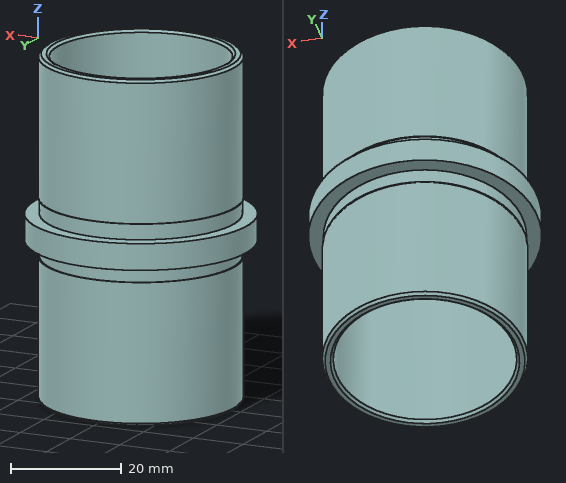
import cadquery as cq

length = 65.0
collar_diameter = 42.4
collar_width = 5.0
tube_diameter = 37.3
bore_diameter = 33.3
relief_width = 3.0
relief_depth = 0.2
chamfer = 0.5

relief_diameter = tube_diameter - 2 * relief_depth
relieved_length = collar_width + 2 * relief_width


def centred_cylinder(diameter, height):
    """Cylinder on the Z axis, centred on the mid-plane of the part."""
    return cq.Workplane("XY").cylinder(height, diameter / 2)


def make_tube():
    """Plain sleeve with both rims chamfered inside and outside."""
    sleeve = centred_cylinder(tube_diameter, length).cut(centred_cylinder(bore_diameter, length))
    return sleeve.faces("<Z or >Z").edges().chamfer(chamfer)


def make_relief():
    """Shallow ring to remove around the middle of the sleeve."""
    return centred_cylinder(tube_diameter, relieved_length).cut(
        centred_cylinder(relief_diameter, relieved_length)
    )


def make_collar():
    """Stop ring around the middle of the sleeve."""
    return centred_cylinder(collar_diameter, collar_width).cut(
        centred_cylinder(bore_diameter, collar_width)
    )


result = make_tube().cut(make_relief()).union(make_collar())